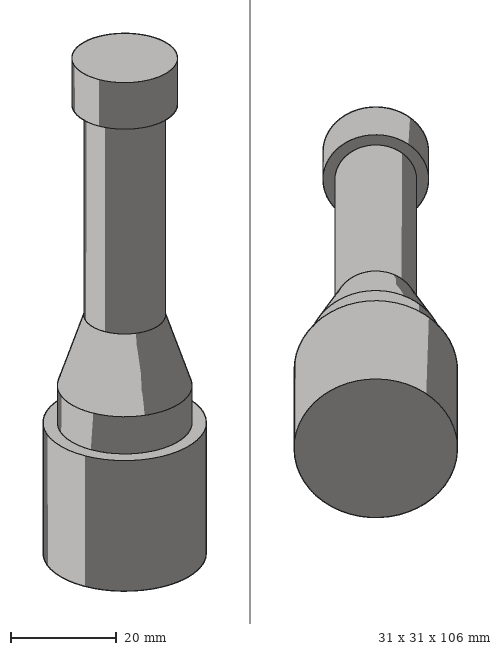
import cadquery as cq

total_height = 106.0
base_diameter = 31.0
collar_diameter = 25.5
neck_diameter = 15.5
head_diameter = 20.0

base_length = 28.0
collar_length = 8.0
taper_length = 15.0
head_length = 10.0

base_top = base_length
collar_top = base_top + collar_length
taper_top = collar_top + taper_length
head_bottom = total_height - head_length

base_radius = base_diameter / 2
collar_radius = collar_diameter / 2
neck_radius = neck_diameter / 2
head_radius = head_diameter / 2

half_profile = (
    cq.Workplane("XZ")
    .moveTo(0, 0)
    .lineTo(base_radius, 0)
    .lineTo(base_radius, base_top)
    .lineTo(collar_radius, base_top)
    .lineTo(collar_radius, collar_top)
    .lineTo(neck_radius, taper_top)
    .lineTo(neck_radius, head_bottom)
    .lineTo(head_radius, head_bottom)
    .lineTo(head_radius, total_height)
    .lineTo(0, total_height)
    .close()
)

result = half_profile.revolve(360, (0, 0, 0), (0, 1, 0))